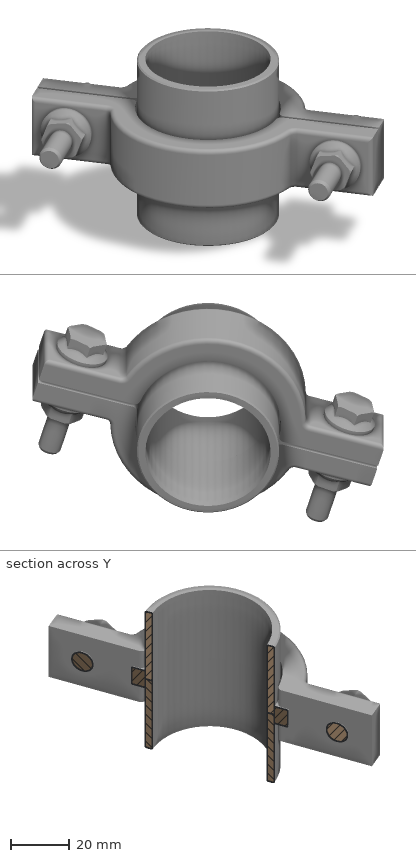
import cadquery as cq
import math

pipe_radius = 24.5
pipe_bore_radius = 21.6
pipe_length = 30.0
pipe_end_chamfer = 0.5

gasket_radius = 29.6
gasket_height = 7.5
gasket_fillet = 0.7

clamp_length = 121.9
clamp_height = 22.4
clamp_diameter = 67.4
clamp_radius = clamp_diameter / 2
clamp_bore_radius = 25.1
split_gap = 1.1
ear_face_y = 8.7
ear_root_fillet = 2.0
outer_edge_fillet = 1.6
bore_edge_fillet = 2.0

flange_radius = 9.0
flange_rim = 1.5
hex_height = 7.4
hex_flats = 13.0
hex_end_chamfer = 0.5
hex_corner_radius = hex_flats / math.sqrt(3)

bolt_x = 48.0
shank_radius = 4.0
shank_tip_y = -31.3
shank_tip_length = 1.1
shank_tip_radius = 3.3
head_angle = 22.0
nut_angle = 10.0

sides = (-1, 1)


def make_pipe():
    """Upper pipe, standing on the joint plane, with its free end chamfered outside."""
    tube = cq.Workplane("XY").circle(pipe_radius).circle(pipe_bore_radius).extrude(pipe_length)
    return tube.faces(">Z").edges(cq.selectors.RadiusNthSelector(-1)).chamfer(pipe_end_chamfer)


def make_gasket():
    """Ring that bears on both pipes, with its outer corners rounded."""
    ring = (
        cq.Workplane("XY")
        .circle(gasket_radius)
        .circle(pipe_radius)
        .extrude(gasket_height / 2, both=True)
    )
    return ring.edges(cq.selectors.RadiusNthSelector(-1)).fillet(gasket_fillet)


def bolt_rods():
    """Two plain shank cylinders along Y, long enough to cut through both clamp halves."""
    return (
        cq.Workplane("XZ")
        .pushPoints([(side * bolt_x, 0) for side in sides])
        .circle(shank_radius)
        .extrude(clamp_radius, both=True)
    )


def make_clamp_half():
    """Clamp half on the +Y side of the split."""
    split_y = split_gap / 2
    ear_depth = ear_face_y - split_y
    split_base = cq.Workplane("XY", origin=(0, split_y, 0))
    from_split = (True, False, True)
    ears = split_base.box(clamp_length, ear_depth, clamp_height, centered=from_split)
    half_space = split_base.box(clamp_length, clamp_radius, clamp_height, centered=from_split)
    ring = cq.Workplane("XY").circle(clamp_radius).extrude(clamp_height / 2, both=True)
    half = ring.intersect(half_space).union(ears)

    root_x = math.sqrt(clamp_radius**2 - ear_face_y**2)
    for side in sides:
        corner = cq.selectors.NearestToPointSelector((side * root_x, ear_face_y, 0))
        half = half.edges("|Z").edges(corner).fillet(ear_root_fillet)

    outer_side = cq.selectors.BoxSelector(
        (-clamp_length, ear_depth, -clamp_height), (clamp_length, 2 * clamp_radius, clamp_height)
    )
    half = half.edges(outer_side).edges("<X or >X or <Z or >Z").fillet(outer_edge_fillet)

    half = half.cut(cq.Workplane("XY").circle(clamp_bore_radius).extrude(clamp_height, both=True))
    bore_x = math.sqrt(clamp_bore_radius**2 - split_y**2)
    for side in sides:
        corner = cq.selectors.NearestToPointSelector((side * bore_x, split_y, 0))
        half = half.edges("|Z").edges(corner).fillet(bore_edge_fillet)

    groove = cq.Workplane("XY").circle(gasket_radius).extrude(gasket_height / 2, both=True)
    return half.cut(groove).cut(bolt_rods())


def flanged_hex(x, angle):
    """Flange, 45-degree cone and hexagon, standing on the -Y ear face and pointing to -Y."""
    cone_height = flange_radius - shank_radius
    seat = cq.Workplane("XZ", origin=(x, -ear_face_y, 0))
    rim = seat.circle(flange_radius).extrude(flange_rim)
    cone = seat.workplane(offset=flange_rim).circle(flange_radius).extrude(cone_height, taper=45)
    hexagon = (
        seat.transformed(rotate=(0, 0, angle))
        .polygon(6, 2 * hex_corner_radius)
        .extrude(hex_height)
    )
    corner_trim = seat.circle(hex_corner_radius).extrude(hex_height).faces("<Y").chamfer(hex_end_chamfer)
    return rim.union(cone).union(hexagon.intersect(corner_trim))


def make_bolt(x):
    """Flanged head on the +Y ears, with a shank that runs through to a chamfered tip at -Y."""
    head = flanged_hex(x, head_angle).mirror("XZ")
    shank = (
        cq.Workplane("XY", origin=(x, 0, 0))
        .moveTo(0, ear_face_y)
        .lineTo(shank_radius, ear_face_y)
        .lineTo(shank_radius, shank_tip_y + shank_tip_length)
        .lineTo(shank_tip_radius, shank_tip_y)
        .lineTo(0, shank_tip_y)
        .close()
        .revolve(360, (0, 0), (0, 1))
    )
    return head.union(shank)


def make_nut(x):
    """Flanged nut on the -Y ears, bored to fit the shank."""
    return flanged_hex(x, nut_angle).cut(bolt_rods())


upper_pipe = make_pipe()
lower_pipe = upper_pipe.mirror("XY")
gasket = make_gasket()
rear_clamp = make_clamp_half()
front_clamp = rear_clamp.mirror("XZ")
bolts = [make_bolt(side * bolt_x) for side in sides]
nuts = [make_nut(side * bolt_x) for side in sides]

fixed_bodies = [upper_pipe, lower_pipe, gasket, rear_clamp, front_clamp]
result = cq.Compound.makeCompound([body.val() for body in fixed_bodies + bolts + nuts])